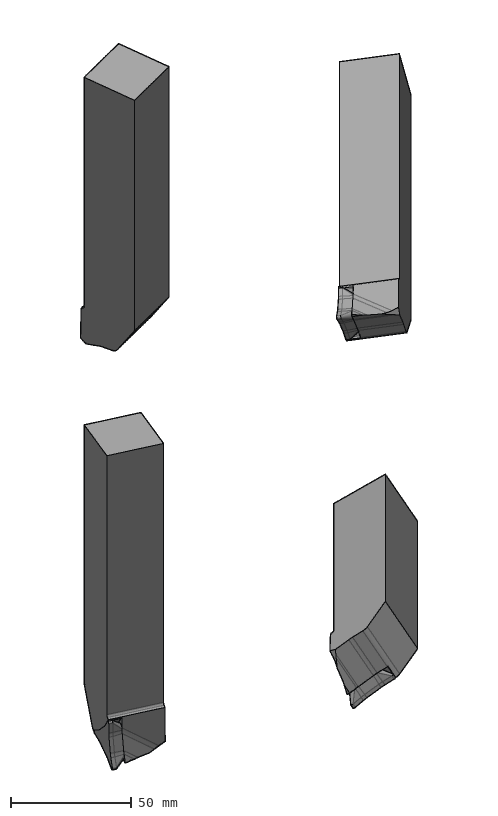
import cadquery as cq
import math


shank_size = 25.4
overall_length = 152.4
tip_overhang = 6.35
step_top = 23.3
step_fillet = 1.20
step_overhang = 1.55
seat_top = 22.4
nose_overhang = 1.85
slope_start_z = 23.6
slope_angle = 60
heel_radius = 3.0

insert_thickness = 6.1
land_thickness = 1.8
middle_inradius = 5.55
knee_offset = 4.6
knee_radius = 9.5
tip_lean = 11.5
tip_radius = 0.8
base_inset = 0.4
base_tip_lean = 9.5
base_tip_radius = 1.8
tip_axis_angle = 228
tip_count = 3
flat_tip_half_angle = 90 - 180 / tip_count

side_knee_radius = 14.0
relief_slope = 0.77
bottom_setback = 0.5
tip_setback = 1.5
nose_z = 1.75
nose_cut_side_z = 5.7
nose_cut_bottom_x = 0.3
nose_cut_bottom_z = 4.2
nose_cut_back_z = 3.0
nose_cut_depth = 5.0

seat_y = shank_size - insert_thickness
land_y = shank_size - land_thickness
clear = 60.0


def polar(distance, angle):
    """Offset in the XZ plane, angle in degrees from +X towards +Z."""
    return distance * math.cos(math.radians(angle)), distance * math.sin(math.radians(angle))


def tip_distance(inradius, lean):
    """Distance from the insert centre to the sharp corner where two sides meet."""
    run = math.tan(math.radians(lean))
    flat_half_angle = math.radians(flat_tip_half_angle)
    height = (inradius - knee_offset * run) / (1 - run / math.tan(flat_half_angle))
    return height / math.sin(flat_half_angle)


tip_half_angle = math.radians(flat_tip_half_angle - tip_lean)
tip_arc_distance = tip_distance(middle_inradius, tip_lean) - tip_radius / math.sin(tip_half_angle)
tip_arc_x, tip_arc_z = polar(tip_arc_distance, tip_axis_angle)
centre_x = tip_radius - tip_overhang - tip_arc_x
centre_z = tip_radius - tip_arc_z


def insert_point(distance, angle):
    x, z = polar(distance, angle)
    return centre_x + x, centre_z + z


def insert_corners(inradius, lean, nose_radius):
    """Corners (x, z, radius) going round: tip, knee, knee, for each side."""
    knee_distance = math.hypot(inradius, knee_offset)
    knee_angle = math.degrees(math.atan2(knee_offset, inradius))
    corners = []
    for index in range(tip_count):
        tip_angle = tip_axis_angle + 360 / tip_count * index
        side_angle = tip_angle + 180 / tip_count
        corners.append((*insert_point(tip_distance(inradius, lean), tip_angle), nose_radius))
        corners.append((*insert_point(knee_distance, side_angle - knee_angle), knee_radius))
        corners.append((*insert_point(knee_distance, side_angle + knee_angle), knee_radius))
    return corners


def rounded_wire(corners, y):
    """Closed wire at the given Y through corners (x, z, radius); radius 0 stays sharp."""
    edges = []
    ends = []
    for index, (x, z, radius) in enumerate(corners):
        point = cq.Vector(x, y, z)
        if radius == 0:
            ends.append((point, point))
            continue
        before = corners[index - 1]
        after = corners[(index + 1) % len(corners)]
        to_before = (cq.Vector(before[0], y, before[1]) - point).normalized()
        to_after = (cq.Vector(after[0], y, after[1]) - point).normalized()
        half_angle = to_before.getAngle(to_after) / 2
        tangent = radius / math.tan(half_angle)
        to_arc = radius / math.sin(half_angle) - radius
        start = point + to_before * tangent
        end = point + to_after * tangent
        middle = point + (to_before + to_after).normalized() * to_arc
        edges.append(cq.Edge.makeThreePointArc(start, middle, end))
        ends.append((start, end))
    for index, (start, _) in enumerate(ends):
        edges.append(cq.Edge.makeLine(ends[index - 1][1], start))
    return cq.Wire.combine(edges)[0]


def prism(corners, y_start, y_end, drift=(0, 0)):
    """Corners extruded along Y; drift is the shift in X and Z for each millimetre along Y."""
    depth = y_end - y_start
    wire = rounded_wire(corners, y_start)
    return cq.Workplane(cq.Solid.extrudeLinear(wire, [], cq.Vector(drift[0], 1, drift[1]) * depth))


edge_corners = insert_corners(middle_inradius, tip_lean, tip_radius)
base_corners = insert_corners(middle_inradius - base_inset, base_tip_lean, base_tip_radius)


def make_insert():
    land = prism(edge_corners, land_y, shank_size)
    wires = [rounded_wire(base_corners, seat_y), rounded_wire(edge_corners, land_y)]
    body = cq.Workplane(cq.Solid.makeLoft(wires, True))
    return land.union(body)


def crossing(start, end, other_start, other_end):
    """Point where two lines in the XZ plane cross."""
    run_x, run_z = end[0] - start[0], end[1] - start[1]
    other_x, other_z = other_end[0] - other_start[0], other_end[1] - other_start[1]
    gap_x, gap_z = other_start[0] - start[0], other_start[1] - start[1]
    part = (gap_x * other_z - gap_z * other_x) / (run_x * other_z - run_z * other_x)
    return start[0] + run_x * part, start[1] + run_z * part


def raised(corner, setback):
    return corner[0], corner[1] + setback


lower_tip = base_corners[0][:2]
left_far_knee, left_near_knee = [(x, z) for x, z, _ in base_corners[-2:]]
cutting_tip, near_knee, far_knee, right_insert_tip = [(x, z) for x, z, _ in edge_corners[:4]]
bottom_tip = raised(cutting_tip, tip_setback)
bottom_near_knee = raised(near_knee, bottom_setback)
bottom_far_knee = raised(far_knee, bottom_setback)
bottom_right_tip = raised(right_insert_tip, bottom_setback)
slope_x, slope_z = polar(1, slope_angle)
slope_top = (shank_size, slope_start_z)
heel = crossing(slope_top, (shank_size - slope_x, slope_start_z - slope_z), bottom_far_knee, bottom_right_tip)
seat_corner = (-step_overhang, seat_top)
nose_side = (-nose_overhang, nose_cut_side_z)


def make_holder_blank():
    """Shank and head without the clearance on the left side."""
    nose = crossing((-clear, nose_z), (0, nose_z), bottom_tip, bottom_near_knee)
    return prism(
        [
            (0, overall_length, 0),
            (0, step_top, step_fillet),
            (*seat_corner, 0),
            (-clear, seat_top, 0),
            (-clear, nose_z, 0),
            (*nose, 0),
            (*bottom_near_knee, knee_radius),
            (*bottom_far_knee, knee_radius),
            (*heel, heel_radius),
            (*slope_top, 0),
            (shank_size, overall_length, 0),
        ],
        0,
        shank_size,
    )


def make_side_clearance():
    """Everything left of the hollow side, which drops below the insert as Y decreases."""
    clearance_top = 2 * seat_top
    side_knee = crossing(seat_corner, nose_side, left_near_knee, left_far_knee)
    high_end = crossing(seat_corner, nose_side, (0, clearance_top), (clear, clearance_top))
    side_slope = (seat_corner[0] - nose_side[0]) / (seat_corner[1] - nose_side[1])
    low_end = crossing(left_near_knee, lower_tip, (0, -clear), (clear, -clear))
    return prism(
        [
            (*high_end, 0),
            (*side_knee, side_knee_radius),
            (*left_near_knee, knee_radius),
            (*low_end, 0),
            (-clear, -clear, 0),
            (-clear, clearance_top, 0),
        ],
        seat_y,
        0,
        (side_slope * relief_slope, relief_slope),
    )


def make_seat():
    """Recess at the +Y side of the head, from the step to the right tip of the insert."""
    right_tip = crossing(bottom_far_knee, bottom_right_tip, (centre_x, centre_z), right_insert_tip)
    opening = [
        (*seat_corner, 0),
        (centre_x, centre_z, 0),
        (*right_tip, 0),
        (right_tip[0], -clear, 0),
        (-clear, -clear, 0),
        (-clear, seat_top, 0),
    ]
    return prism(opening, seat_y, shank_size).union(prism(edge_corners, seat_y, shank_size))


def make_nose_cut():
    """Corner below the plane through three points of the nose."""
    on_side = cq.Vector(nose_side[0], 0, nose_side[1])
    on_bottom = cq.Vector(nose_cut_bottom_x, 0, nose_cut_bottom_z)
    at_back = cq.Vector(-nose_overhang, nose_cut_depth, nose_cut_back_z)
    normal = (at_back - on_side).cross(on_bottom - on_side)
    plane = cq.Plane(on_side, on_bottom - on_side, normal)
    return cq.Workplane(plane).rect(clear, clear).extrude(clear)


holder = make_holder_blank().cut(make_side_clearance()).cut(make_seat()).cut(make_nose_cut())
insert = make_insert()
result = cq.Compound.makeCompound([holder.solids().val(), insert.solids().val()])